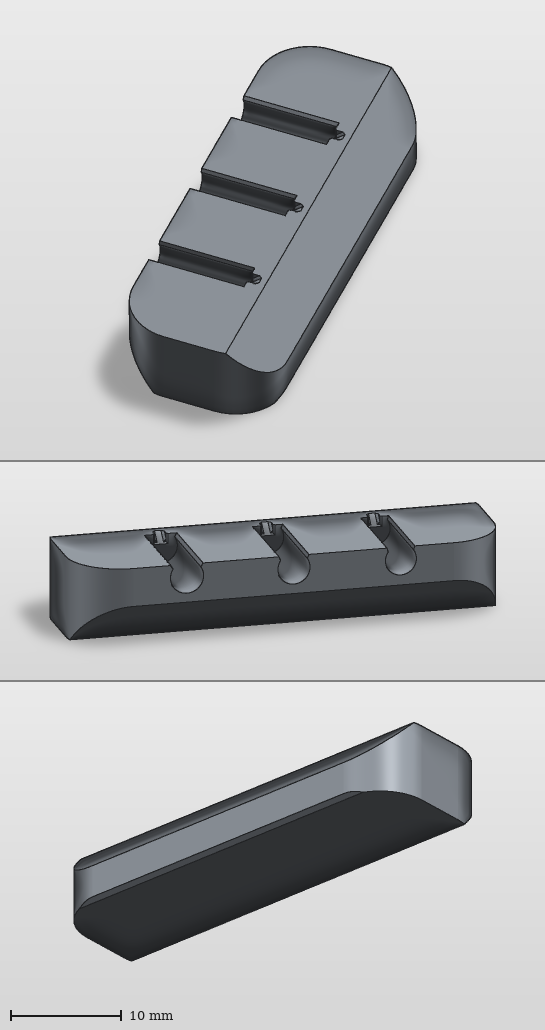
import cadquery as cq
import math

length = 40.0
width = 15.0
height = 7.6
corner_radius = 5.0
edge_slope = 4.0
foot_chamfer = 0.4

groove_sizes = [(2.9, 2.6), (3.0, 2.8), (3.1, 3.0)]
groove_pitch = 10.0
groove_length = 9.3
bore_axis_depth = 1.2
throat_depth = 0.35

notch_length = 1.1
notch_depth = 0.95
notch_width = 1.1
notch_floor_width = 0.6
notch_bevel_height = 0.2
flare_width = 1.35
flare_length = 0.15


def make_block():
    profile = [
        (edge_slope, 0),
        (width - foot_chamfer, 0),
        (width, foot_chamfer),
        (width, height - edge_slope),
        (width - edge_slope, height),
        (0, height),
        (0, edge_slope),
    ]
    bar = cq.Workplane("XZ").polyline(profile).close().extrude(length / 2, both=True)
    rounded_plan = (
        cq.Workplane("XY")
        .center(width / 2, 0)
        .rect(width, length)
        .extrude(height)
        .edges("|Z")
        .fillet(corner_radius)
    )
    return bar.intersect(rounded_plan)


def make_groove(diameter, mouth_width, y):
    """Round bore, narrowed to a throat below the top face and flared out to its mouth."""
    radius = diameter / 2
    throat_half = math.sqrt(radius**2 - (bore_axis_depth - throat_depth) ** 2)
    mouth_half = mouth_width / 2
    throat_z = height - throat_depth
    return (
        cq.Workplane("YZ")
        .moveTo(y - mouth_half, height)
        .lineTo(y - throat_half, throat_z)
        .threePointArc((y, height - bore_axis_depth - radius), (y + throat_half, throat_z))
        .lineTo(y + mouth_half, height)
        .close()
        .extrude(groove_length)
    )


def make_notch(y):
    """Bevelled channel rising from the groove's end wall to the top face, flared at its start."""
    ramp_length = math.hypot(notch_length, notch_depth)
    ramp_start = (groove_length, y, height - notch_depth)
    across_ramp = cq.Plane(origin=ramp_start, xDir=(0, 1, 0), normal=(notch_length, 0, notch_depth))
    floor_half = notch_floor_width / 2
    side_half = notch_width / 2
    section = [
        (-floor_half, 0),
        (floor_half, 0),
        (side_half, notch_bevel_height),
        (side_half, ramp_length),
        (-side_half, ramp_length),
        (-side_half, notch_bevel_height),
    ]
    channel = cq.Workplane(across_ramp).polyline(section).close().extrude(ramp_length, both=True)

    flare_half = flare_width / 2
    flare = (
        cq.Workplane("XY")
        .polyline([(0, -flare_half), (flare_length, -side_half), (flare_length, side_half), (0, flare_half)])
        .close()
        .extrude(notch_depth)
        .translate(ramp_start)
    )

    space_above_ramp = (
        cq.Workplane("XZ")
        .polyline([(0, 0), (notch_length, notch_depth), (0, notch_depth)])
        .close()
        .extrude(flare_half, both=True)
        .translate(ramp_start)
    )
    return channel.union(flare).intersect(space_above_ramp)


result = make_block()
for index, (diameter, mouth_width) in enumerate(groove_sizes):
    groove_y = (index - (len(groove_sizes) - 1) / 2) * groove_pitch
    result = result.cut(make_groove(diameter, mouth_width, groove_y))
    result = result.cut(make_notch(groove_y))